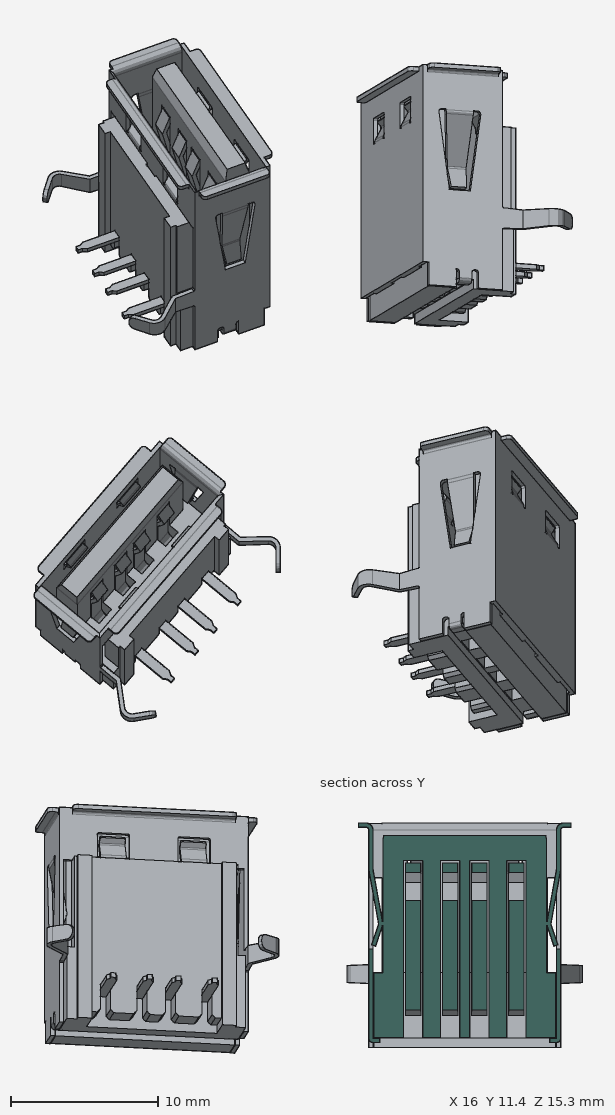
import cadquery as cq
import math

wall = 0.3

shell_half_width = 6.53
shell_depth = 5.71
height = 15.26
back_wall_bottom = 1.58
side_wall_back = 5.28
inner_half_width = shell_half_width - wall
inner_back = shell_depth - wall

bend_radius = 0.2
mouth_radius = bend_radius + wall
mouth_block_height = 0.8
flange_half_length = 5.63
flange_half_span = 7.23
front_flange_reach = 0.74
back_flange_reach = 0.69
flange_corner = 0.29

latch_x = 2.78
latch_window_width = 2.22
latch_window_bottom = 11.76
latch_window_top = 13.55
latch_window_corner = 0.13
latch_tab_width = 1.78
latch_foot_z = 11.92
latch_lean = 0.52
latch_lip_slope = 1.1
latch_tip = (0.18, 13.26)
latch_lip_thickness = 0.2
latch_foot_bend = 0.4
latch_crest_bend = 0.32
latch_crest_inner_bend = 0.1
latch_tip_corner = 0.13

spring_y = 3.07
spring_window_bottom = 6.7
spring_window_top = 12.29
spring_window_half_widths = (0.75, 1.54)
spring_window_corner = 0.24
spring_half_widths = (0.55, 1.0)
spring_tip_z = 6.88
spring_knee_z = 8.38
spring_root_z = 12.1
spring_root_bend = 1.44
spring_knee_bend = 0.25
spring_knee_x = 5.55
spring_tip_x = 6.05

hook_y = 2.65
hook_half_width = 0.45
hook_top = 0.64
hook_inner_x = 5.76
relief_width = 0.48
relief_top = 1.26

leg_z = 5.0
leg_tip_y = -5.02
leg_half_span = 8.0
leg_bend_radius = 0.8
leg_bend_y = -3.42
leg_upper_angle = math.radians(41.8)
leg_lower_angle = math.radians(50)
leg_root_half_height = 0.7
leg_tip_half_height = 0.51
leg_root_flare = 0.08
leg_tip_corner = 0.46

housing_half_width = 6.18
housing_back = 5.2
housing_front = -0.91
floor_z = 5.09
plate_half_width = flange_half_length
plate_top = 11.52
rib_front = -1.31
rib_inner_x = 4.5
rib_outer_x = 5.47
spacer_inner_x = 1.05
spacer_outer_x = 4.74
spacer_top = 3.2
key_half_width = 0.64
key_depth = 0.11
key_height = 0.24
bottom_recess_back = 0.8
bottom_recess_height = 0.58
cross_slot_front = 1.98
cross_slot_back = 3.33
cross_slot_height = 0.65

tongue_half_width = 5.57
tongue_front = 2.82
tongue_back = 4.64
tongue_top = 15.04
tongue_chamfer_height = 0.9
tongue_chamfer_width = 0.22

contact_x = (-3.5, -1.0, 1.0, 3.5)
contact_width = 1.05
contact_thickness = 0.32
contact_groove_width = 1.3
contact_groove_top = 12.7
contact_groove_depth = 0.4
contact_slot_front = 2.06
contact_tip_z = 12.55
contact_crest = (2.29, 11.2)
contact_face_y = 2.83
contact_straight_top = 8.8
contact_bend_radius = 0.77
contact_bend_end = contact_face_y - contact_bend_radius
pin_width = 0.7
pin_tip_width = 0.35
pin_top = 2.5
pin_taper_start = -3.33
pin_taper_end = -3.62
pin_tip = -3.94
pin_slot_chamfer = 0.22
pin_slot_top = 2.55


def box(x0, x1, y0, y1, z0, z1):
    return cq.Workplane("XY").box(x1 - x0, y1 - y0, z1 - z0, centered=False).translate((x0, y0, z0))


def both_sides(solid):
    return solid.union(solid.mirror("YZ"))


def extrude_x(points, x0, x1):
    """Prism along X from (y, z) points."""
    return cq.Workplane("YZ").polyline(points).close().extrude(x1 - x0).translate((x0, 0, 0))


def extrude_y(points, y0, y1):
    """Prism along Y from (x, z) points."""
    return cq.Workplane("XZ").polyline(points).close().extrude(y0 - y1).translate((0, y0, 0))


def extrude_z(points, z0, z1):
    return cq.Workplane("XY").polyline(points).close().extrude(z1 - z0).translate((0, 0, z0))


def edge_along_x(y, z):
    """Selector for the straight edges along X that pass through (y, z)."""
    reach = 0.02
    return cq.selectors.BoxSelector(
        (-shell_half_width, y - reach, z - reach), (shell_half_width, y + reach, z + reach)
    )


def edge_along_y(x, z):
    """Selector for the straight edges along Y that pass through (x, z)."""
    reach = 0.02
    return cq.selectors.BoxSelector((x - reach, 0, z - reach), (x + reach, shell_depth, z + reach))


def bent_flange(reach, half_length):
    """Flange bent outwards from a wall whose outer face is Y = 0, running along X."""
    bend_bottom = height - mouth_radius
    half_turn = bend_radius * math.sqrt(0.5)
    profile = (
        cq.Workplane("YZ")
        .moveTo(0, bend_bottom)
        .threePointArc(
            (half_turn - bend_radius, bend_bottom + half_turn),
            (-bend_radius, bend_bottom + bend_radius),
        )
        .lineTo(-reach, height - wall)
        .lineTo(-reach, height)
        .lineTo(wall, height)
        .lineTo(wall, bend_bottom)
        .close()
    )
    flange = profile.extrude(half_length, both=True)
    return flange.faces("<Y").edges("|Z").fillet(flange_corner)


def shell_mouth():
    """Top of the shell: rounded lead-in running out into the front and side flanges."""
    bottom = height - mouth_block_height
    block = box(-flange_half_span, flange_half_span, -front_flange_reach, shell_depth, bottom, height)
    cavity = box(-inner_half_width, inner_half_width, wall, inner_back, bottom, height)
    margin = wall / 2
    cavity_edge = cq.selectors.BoxSelector(
        (-inner_half_width - margin, wall - margin, height - margin),
        (inner_half_width + margin, inner_back - margin, height + margin),
    )
    block = block.cut(cavity).edges(cavity_edge).fillet(mouth_radius)

    outline = box(-shell_half_width, shell_half_width, 0, shell_depth, bottom, height)
    outline = outline.union(bent_flange(front_flange_reach, flange_half_length))
    side_flange_half_length = (inner_back - wall) / 2
    side_flange = (
        bent_flange(flange_half_span - shell_half_width, side_flange_half_length)
        .rotate((0, 0, 0), (0, 0, 1), 90)
        .translate((shell_half_width, shell_depth / 2, 0))
    )
    return block.intersect(outline.union(both_sides(side_flange)))


def back_flange():
    flange = box(
        -flange_half_length, flange_half_length,
        inner_back, shell_depth + back_flange_reach,
        height - wall, height,
    )
    return flange.faces(">Y").edges("|Z").fillet(flange_corner)


def shell_walls():
    top = height - mouth_block_height
    walls = box(-shell_half_width, shell_half_width, 0, shell_depth, 0, top)
    walls = walls.cut(box(-inner_half_width, inner_half_width, wall, inner_back, 0, top))
    front_opening = box(-inner_half_width, inner_half_width, 0, wall, 0, plate_top)
    back_step = box(
        -shell_half_width, shell_half_width, side_wall_back, shell_depth, 0, back_wall_bottom,
    )
    return walls.cut(front_opening).cut(back_step)


def latch_window(y0):
    """Pair of window cutters through a wall that starts at y0."""
    window = box(
        latch_x - latch_window_width / 2, latch_x + latch_window_width / 2,
        y0, y0 + wall,
        latch_window_bottom, latch_window_top,
    )
    return both_sides(window.faces(">Z").edges("|Y").fillet(latch_window_corner))


def latch_tabs():
    """Front pair of tabs: leaning inwards from the window sill, with a lip turned back outwards."""
    lip_angle = math.atan(latch_lip_slope)
    tip_depth, tip_z = latch_tip
    inner_tip_depth = tip_depth + latch_lip_thickness * math.sin(lip_angle)
    inner_tip_z = tip_z + latch_lip_thickness * math.cos(lip_angle)

    def crest(foot_depth, lip_depth, lip_z):
        """Point where the leaning face meets the face of the lip."""
        lip_rise = lip_z - latch_foot_z + latch_lip_slope * (lip_depth - foot_depth)
        rise = lip_rise / (1 + latch_lip_slope * latch_lean)
        return (foot_depth + latch_lean * rise, latch_foot_z + rise)

    outer_crest = crest(0, tip_depth, tip_z)
    inner_crest = crest(wall, inner_tip_depth, inner_tip_z)
    profile = [
        (0, latch_window_bottom),
        (0, latch_foot_z),
        outer_crest,
        latch_tip,
        (inner_tip_depth, inner_tip_z),
        inner_crest,
        (wall, latch_foot_z),
        (wall, latch_window_bottom),
    ]
    tab = extrude_x(profile, latch_x - latch_tab_width / 2, latch_x + latch_tab_width / 2)
    tip_edges = cq.selectors.ParallelDirSelector(cq.Vector(0, math.sin(lip_angle), math.cos(lip_angle)))
    tab = tab.edges(tip_edges).fillet(latch_tip_corner)
    tab = tab.edges(edge_along_x(wall, latch_foot_z)).fillet(latch_foot_bend)
    tab = tab.edges(edge_along_x(0, latch_foot_z)).fillet(latch_foot_bend)
    tab = tab.edges(edge_along_x(*inner_crest)).fillet(latch_crest_bend)
    tab = tab.edges(edge_along_x(*outer_crest)).fillet(latch_crest_inner_bend)
    return both_sides(tab)


def taper_outline(half_widths, z0, z1):
    """Symmetric trapezoid about the spring centre line, as (y, z) points."""
    bottom, top = half_widths
    return [
        (spring_y - bottom, z0),
        (spring_y + bottom, z0),
        (spring_y + top, z1),
        (spring_y - top, z1),
    ]


def spring_window():
    outline = taper_outline(spring_window_half_widths, spring_window_bottom, spring_window_top)
    window = extrude_x(outline, inner_half_width, shell_half_width)
    return both_sides(window.faces(">Z").edges("|X").fillet(spring_window_corner))


def side_springs():
    """Knee-shaped spring fingers hanging from the top of the side windows."""
    tip_angle = math.atan2(spring_tip_x - spring_knee_x, spring_knee_z - spring_tip_z)
    outer_tip = (spring_tip_x + wall * math.cos(tip_angle), spring_tip_z + wall * math.sin(tip_angle))
    profile = [
        (inner_half_width, spring_window_top),
        (inner_half_width, spring_root_z),
        (spring_knee_x, spring_knee_z),
        (spring_tip_x, spring_tip_z),
        outer_tip,
        (spring_knee_x + wall, spring_knee_z),
        (shell_half_width, spring_root_z),
        (shell_half_width, spring_window_top),
    ]
    strip = extrude_y(profile, 0, shell_depth)
    for root_x in (inner_half_width, shell_half_width):
        strip = strip.edges(edge_along_y(root_x, spring_root_z)).fillet(spring_root_bend)
    for knee_x in (spring_knee_x, spring_knee_x + wall):
        strip = strip.edges(edge_along_y(knee_x, spring_knee_z)).fillet(spring_knee_bend)
    outline = taper_outline(spring_half_widths, spring_tip_z, spring_window_top)
    return both_sides(strip.intersect(extrude_x(outline, 0, shell_half_width)))


def hook_gap():
    """Opening in the side walls around the hooks: a round-topped relief slot on each side."""
    front = hook_y - hook_half_width - relief_width
    relief_radius = relief_width / 2
    relief = (
        cq.Workplane("YZ")
        .moveTo(front, 0)
        .lineTo(front, relief_top - relief_radius)
        .threePointArc(
            (front + relief_radius, relief_top), (front + relief_width, relief_top - relief_radius),
        )
        .lineTo(front + relief_width, 0)
        .close()
        .extrude(shell_half_width)
    )
    back_relief = relief.translate((0, 2 * hook_half_width + relief_width, 0))
    back_relief = back_relief.intersect(box(0, shell_half_width, 0, cross_slot_back, 0, relief_top))
    below = box(0, shell_half_width, front + relief_radius, cross_slot_back, 0, hook_top)
    gap = relief.union(back_relief).union(below)
    return both_sides(gap.intersect(box(inner_half_width, shell_half_width, 0, shell_depth, 0, height)))


def hooks():
    """Side-wall tabs curled inwards under the housing."""
    hook = box(
        hook_inner_x, shell_half_width,
        hook_y - hook_half_width, hook_y + hook_half_width,
        hook_top - wall, hook_top + wall,
    )
    hook = hook.edges("|Y and >X and <Z").fillet(wall)
    return both_sides(hook.cut(box(0, inner_half_width, 0, shell_depth, hook_top, height)))


def board_legs():
    """Sprung legs: straight out of the side wall, bent outwards, then rounded back inwards."""
    bend_x = leg_half_span - leg_bend_radius

    def on_bend(radius, angle):
        return (bend_x + radius * math.cos(angle), leg_bend_y + radius * math.sin(angle))

    def shoulder(radius, x):
        start_x, start_y = on_bend(radius, leg_upper_angle)
        return (x, start_y + (start_x - x) / math.tan(leg_upper_angle))

    outer = leg_bend_radius
    inner = leg_bend_radius - wall
    outer_end = on_bend(outer, -leg_lower_angle)
    tail = (outer_end[1] - leg_tip_y) / math.cos(leg_lower_angle)

    def tip(radius):
        end_x, end_y = on_bend(radius, -leg_lower_angle)
        return (end_x - tail * math.sin(leg_lower_angle), end_y - tail * math.cos(leg_lower_angle))

    profile = (
        cq.Workplane("XY")
        .moveTo(shell_half_width, 0)
        .lineTo(*shoulder(outer, shell_half_width))
        .lineTo(*on_bend(outer, leg_upper_angle))
        .threePointArc(on_bend(outer, 0), outer_end)
        .lineTo(*tip(outer))
        .lineTo(*tip(inner))
        .lineTo(*on_bend(inner, -leg_lower_angle))
        .threePointArc(on_bend(inner, 0), on_bend(inner, leg_upper_angle))
        .lineTo(*shoulder(inner, inner_half_width))
        .lineTo(inner_half_width, 0)
        .close()
    )
    strip = profile.extrude(height)

    root = leg_root_half_height
    side_outline = [
        (0, leg_z - root - leg_root_flare),
        (0, leg_z + root + leg_root_flare),
        (-leg_root_flare, leg_z + root),
        (leg_tip_y, leg_z + leg_tip_half_height),
        (leg_tip_y, leg_z - leg_tip_half_height),
        (-leg_root_flare, leg_z - root),
    ]
    side_shape = extrude_x(side_outline, 0, leg_half_span)
    leg = strip.intersect(side_shape)
    leg = leg.faces("<Y").edges("not(|Z)").fillet(leg_tip_corner)
    return both_sides(leg)


def make_shell():
    shell = shell_walls().union(shell_mouth()).union(back_flange())
    shell = shell.cut(latch_window(0)).cut(latch_window(inner_back))
    shell = shell.cut(spring_window()).cut(hook_gap())
    front_tabs = latch_tabs()
    back_tabs = front_tabs.mirror("XZ").translate((0, shell_depth, 0))
    shell = shell.union(front_tabs).union(back_tabs)
    return shell.union(side_springs()).union(hooks()).union(board_legs())


def tongue():
    """Plug tongue with a steep chamfer all around its tip."""
    width = 2 * tongue_half_width
    depth = tongue_back - tongue_front
    middle_y = (tongue_front + tongue_back) / 2
    chamfer_bottom = tongue_top - tongue_chamfer_height
    body = (
        cq.Workplane("XY")
        .center(0, middle_y)
        .rect(width, depth)
        .extrude(chamfer_bottom)
    )
    tip = (
        cq.Workplane("XY", origin=(0, middle_y, chamfer_bottom))
        .rect(width, depth)
        .workplane(offset=tongue_chamfer_height)
        .rect(width - 2 * tongue_chamfer_width, depth - 2 * tongue_chamfer_width)
        .loft()
    )
    return body.union(tip)


def contact_groove(x):
    """Slot through the floor in front of the tongue, plus the groove up the tongue face."""
    half = contact_groove_width / 2
    groove_back = tongue_front + contact_groove_depth
    floor_slot = box(x - half, x + half, contact_slot_front, tongue_front, 0, floor_z)
    tongue_groove = box(x - half, x + half, tongue_front, groove_back, 0, contact_groove_top)
    return floor_slot.union(tongue_groove)


def pin_slot(x):
    """Slot for one pin, flared with chamfers where it opens at the bottom."""
    half = pin_width / 2
    flare = half + pin_slot_chamfer
    points = [
        (x - flare, bottom_recess_height),
        (x - half, bottom_recess_height + pin_slot_chamfer),
        (x - half, pin_slot_top),
        (x + half, pin_slot_top),
        (x + half, bottom_recess_height + pin_slot_chamfer),
        (x + flare, bottom_recess_height),
    ]
    return extrude_y(points, housing_front, bottom_recess_back)


def make_housing():
    housing = box(-housing_half_width, housing_half_width, housing_front, housing_back, 0, floor_z)
    housing = housing.union(
        box(-plate_half_width, plate_half_width, housing_front, wall, 0, plate_top)
    )
    housing = housing.cut(
        box(-key_half_width, key_half_width, -key_depth, 0, plate_top - key_height, plate_top)
    )
    housing = housing.union(both_sides(box(rib_inner_x, rib_outer_x, rib_front, 0, 0, plate_top)))
    spacer = box(spacer_inner_x, spacer_outer_x, tongue_back, inner_back, back_wall_bottom, spacer_top)
    housing = housing.union(both_sides(spacer)).union(tongue())

    housing = housing.cut(
        box(-rib_inner_x, rib_inner_x, housing_front, bottom_recess_back, 0, bottom_recess_height)
    )
    housing = housing.cut(
        box(
            -housing_half_width, housing_half_width,
            cross_slot_front, cross_slot_back, 0, cross_slot_height,
        )
    )
    for x in contact_x:
        housing = housing.cut(contact_groove(x)).cut(pin_slot(x))
    return housing


def make_contact(x):
    """Bowed contact blade running down the tongue, and its pin pointing forwards."""
    bend_z = pin_top + contact_bend_radius
    outer_radius = contact_bend_radius + contact_thickness
    diagonal = math.sqrt(0.5)
    inner_middle = (
        contact_bend_end + contact_bend_radius * diagonal, bend_z - contact_bend_radius * diagonal,
    )
    outer_middle = (contact_bend_end + outer_radius * diagonal, bend_z - outer_radius * diagonal)
    crest_y, crest_z = contact_crest
    back_y = contact_face_y + contact_thickness
    blade = (
        cq.Workplane("YZ")
        .moveTo(contact_face_y, contact_tip_z)
        .lineTo(crest_y, crest_z)
        .lineTo(contact_face_y, contact_straight_top)
        .lineTo(contact_face_y, bend_z)
        .threePointArc(inner_middle, (contact_bend_end, pin_top))
        .lineTo(contact_bend_end - contact_thickness, pin_top)
        .lineTo(contact_bend_end - contact_thickness, pin_top - contact_thickness)
        .lineTo(contact_bend_end, pin_top - contact_thickness)
        .threePointArc(outer_middle, (back_y, bend_z))
        .lineTo(back_y, contact_straight_top)
        .lineTo(crest_y + contact_thickness, crest_z)
        .lineTo(back_y, contact_tip_z)
        .close()
        .extrude(contact_width / 2, both=True)
        .translate((x, 0, 0))
    )
    pin_points = [
        (x - pin_width / 2, contact_bend_end),
        (x - pin_width / 2, pin_taper_start),
        (x - pin_tip_width / 2, pin_taper_end),
        (x - pin_tip_width / 2, pin_tip),
        (x + pin_tip_width / 2, pin_tip),
        (x + pin_tip_width / 2, pin_taper_end),
        (x + pin_width / 2, pin_taper_start),
        (x + pin_width / 2, contact_bend_end),
    ]
    return blade.union(extrude_z(pin_points, pin_top - contact_thickness, pin_top))


result = make_shell().union(make_housing())
for x in contact_x:
    result = result.union(make_contact(x))